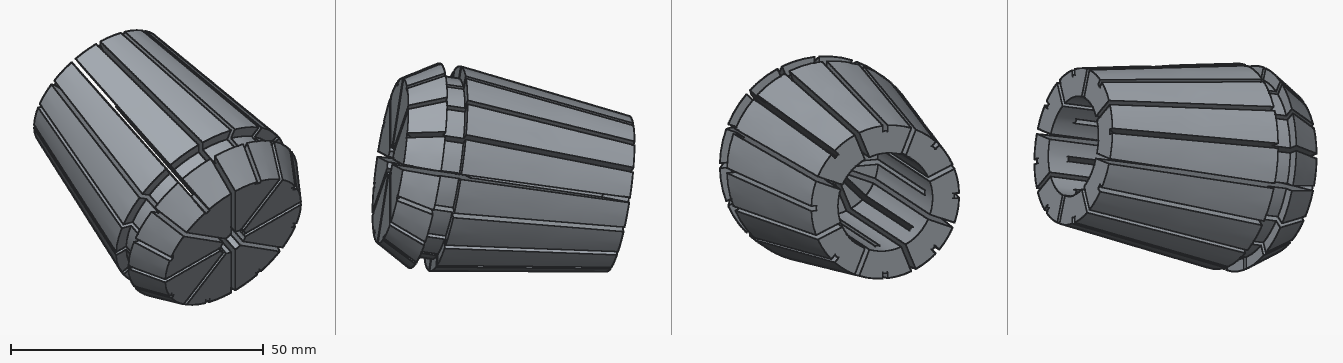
import cadquery as cq
import math

length = 46.0
outer_diameter = 41.0
taper_angle = 8.0
taper_length = 34.9
head_start = 39.05
head_angle = 30.0
neck_radius = 18.1

bore_radius = 3.0
relief_radius = 10.0
relief_depth = 31.3

slots_per_kind = 8
slot_pitch = 360.0 / slots_per_kind
slot_width = 1.0

saw_radius = 40.0

web_outer_radius = 14.5
web_length = 4.6

tail_notch_radius = 16.0
nose_saw_height = 36.4

outer_radius = outer_diameter / 2
nose_radius = outer_radius - taper_length * math.tan(math.radians(taper_angle))
tail_radius = outer_radius - (length - head_start) * math.tan(math.radians(head_angle))


def make_body():
    """Revolve the half section, bore and relief included."""
    section = [
        (0, relief_radius),
        (0, nose_radius),
        (taper_length, outer_radius),
        (taper_length, neck_radius),
        (head_start, neck_radius),
        (head_start, outer_radius),
        (length, tail_radius),
        (length, bore_radius),
        (relief_depth, bore_radius),
        (relief_depth, relief_radius),
    ]
    return cq.Workplane("XY").polyline(section).close().revolve(360, (0, 0, 0), (1, 0, 0))


def make_saw_slot(saw_x, saw_z, open_end_x):
    """Sweep the round blade along X from its final centre out past the open end."""
    blade = (
        cq.Workplane("XZ")
        .center(saw_x, saw_z)
        .circle(saw_radius)
        .extrude(slot_width / 2, both=True)
    )
    path = (
        cq.Workplane("XZ")
        .moveTo(saw_x, saw_z - saw_radius)
        .lineTo(open_end_x, saw_z - saw_radius)
        .lineTo(open_end_x, saw_z)
        .lineTo(saw_x, saw_z)
        .close()
        .extrude(slot_width / 2, both=True)
    )
    return blade.union(path)


def saw_reach(saw_z, radius):
    """Distance along X from the blade centre to its rim at a given radius of the collet."""
    return math.sqrt(saw_radius**2 - (saw_z - radius) ** 2)


def make_head_slot():
    """Slot open at the head, its floor passing through both corners of the web."""
    chord_x = web_length
    chord_z = web_outer_radius - relief_radius
    chord = math.hypot(chord_x, chord_z)
    offset = math.sqrt(saw_radius**2 - (chord / 2) ** 2)
    saw_x = chord_x / 2 + offset * chord_z / chord
    saw_z = relief_radius + chord_z / 2 + offset * chord_x / chord
    return make_saw_slot(saw_x, saw_z, length)


def make_nose_slot():
    """Slot open at the nose, its floor curving up to run out of the head face."""
    saw_x = length - saw_reach(nose_saw_height, tail_notch_radius)
    return make_saw_slot(saw_x, nose_saw_height, 0)


result = make_body()
head_slot = make_head_slot()
nose_slot = make_nose_slot()
for index in range(slots_per_kind):
    angle = index * slot_pitch
    result = result.cut(head_slot.rotate((0, 0, 0), (1, 0, 0), angle))
    result = result.cut(nose_slot.rotate((0, 0, 0), (1, 0, 0), angle + slot_pitch / 2))